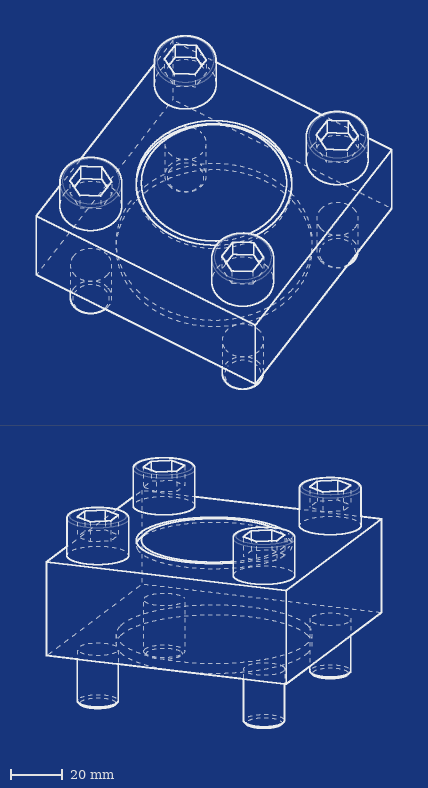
import cadquery as cq
import math

block_side = 100.0
block_height = 38.0

spigot_diameter = 76.0
spigot_height = 4.0

groove_outer_diameter = 60.3
groove_width = 2.0
groove_depth = 2.0

screw_pitch = 69.3
shank_diameter = 16.0
shank_projection = 22.0
shank_chamfer = 1.0
head_diameter = 1.5 * shank_diameter
head_height = shank_diameter
head_fillet = 1.0
socket_across_flats = 14.0
socket_depth = 8.0


def make_block():
    block = cq.Workplane("XY").box(block_side, block_side, block_height, centered=(True, True, False))
    spigot = cq.Workplane("XY").circle(spigot_diameter / 2).extrude(-spigot_height)
    return block.union(spigot)


def make_groove():
    outer_radius = groove_outer_diameter / 2
    inner_radius = outer_radius - groove_width
    return (
        cq.Workplane("XZ")
        .moveTo(inner_radius, block_height)
        .lineTo(outer_radius, block_height)
        .lineTo(outer_radius, block_height - groove_depth)
        .close()
        .revolve(360, (0, 0, 0), (0, 1, 0))
    )


def make_screw():
    """Screw on the Z axis, its head seated on the block's top face."""
    shank = (
        cq.Workplane("XY", origin=(0, 0, -shank_projection))
        .circle(shank_diameter / 2)
        .extrude(shank_projection + block_height)
        .faces("<Z")
        .chamfer(shank_chamfer)
    )
    head = (
        cq.Workplane("XY", origin=(0, 0, block_height))
        .circle(head_diameter / 2)
        .extrude(head_height)
        .faces(">Z")
        .fillet(head_fillet)
    )
    socket_across_corners = socket_across_flats / math.cos(math.pi / 6)
    socket = (
        cq.Workplane("XY", origin=(0, 0, block_height + head_height))
        .polygon(6, socket_across_corners)
        .extrude(-socket_depth)
        .rotate((0, 0, 0), (0, 0, 1), 90)
    )
    return shank.union(head).cut(socket)


result = make_block().cut(make_groove())
screw = make_screw()
for x_sign in (-1, 1):
    for y_sign in (-1, 1):
        result = result.union(screw.translate((x_sign * screw_pitch / 2, y_sign * screw_pitch / 2, 0)))